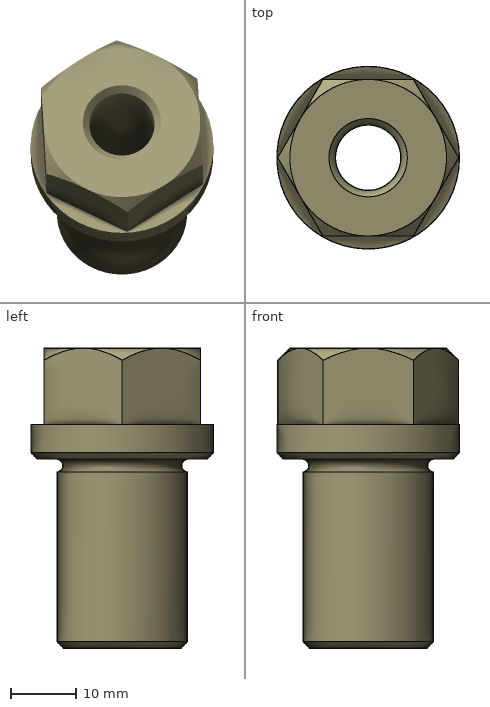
import cadquery as cq
import math

total_height = 46.0
flange_diameter = 28.0
shank_diameter = 20.0
hex_across_flats = 24.0
bore_diameter = 10.0
head_height = 11.7
flange_bottom = 29.0
groove_height = 2.0
groove_depth = 0.87
edge_chamfer = 1.0

flange_radius = flange_diameter / 2
shank_radius = shank_diameter / 2
bore_radius = bore_diameter / 2
flange_top = total_height - head_height
groove_bottom = flange_bottom - groove_height
groove_middle = flange_bottom - groove_height / 2
hex_across_corners = hex_across_flats / math.cos(math.pi / 6)
crown_radius = hex_across_flats / 2
crown_drop = flange_radius - crown_radius


def revolve_about_z(profile):
    """Revolve a closed radius-height profile around the vertical axis."""
    return profile.close().revolve(360, (0, 0, 0), (0, 1, 0))


def make_shank_and_flange():
    """Round shank, arc-shaped relief groove and flange as one turned body."""
    profile = (
        cq.Workplane("XZ")
        .moveTo(0, 0)
        .lineTo(shank_radius - edge_chamfer, 0)
        .lineTo(shank_radius, edge_chamfer)
        .lineTo(shank_radius, groove_bottom)
        .threePointArc((shank_radius - groove_depth, groove_middle), (shank_radius, flange_bottom))
        .lineTo(flange_radius - edge_chamfer, flange_bottom)
        .lineTo(flange_radius, flange_bottom + edge_chamfer)
        .lineTo(flange_radius, flange_top)
        .lineTo(0, flange_top)
    )
    return revolve_about_z(profile)


def make_hex_head():
    """Hexagon with corners on X, its top corners turned off by a 45 degree cone."""
    hexagon = (
        cq.Workplane("XY")
        .workplane(offset=flange_top)
        .polygon(6, hex_across_corners)
        .extrude(head_height)
    )
    crown_envelope = revolve_about_z(
        cq.Workplane("XZ")
        .moveTo(0, flange_top)
        .lineTo(flange_radius, flange_top)
        .lineTo(flange_radius, total_height - crown_drop)
        .lineTo(crown_radius, total_height)
        .lineTo(0, total_height)
    )
    return hexagon.intersect(crown_envelope)


def make_bore():
    """Through bore with a 45 degree countersink at the top."""
    return revolve_about_z(
        cq.Workplane("XZ")
        .moveTo(0, 0)
        .lineTo(bore_radius, 0)
        .lineTo(bore_radius, total_height - edge_chamfer)
        .lineTo(bore_radius + edge_chamfer, total_height)
        .lineTo(0, total_height)
    )


result = make_shank_and_flange().union(make_hex_head()).cut(make_bore())